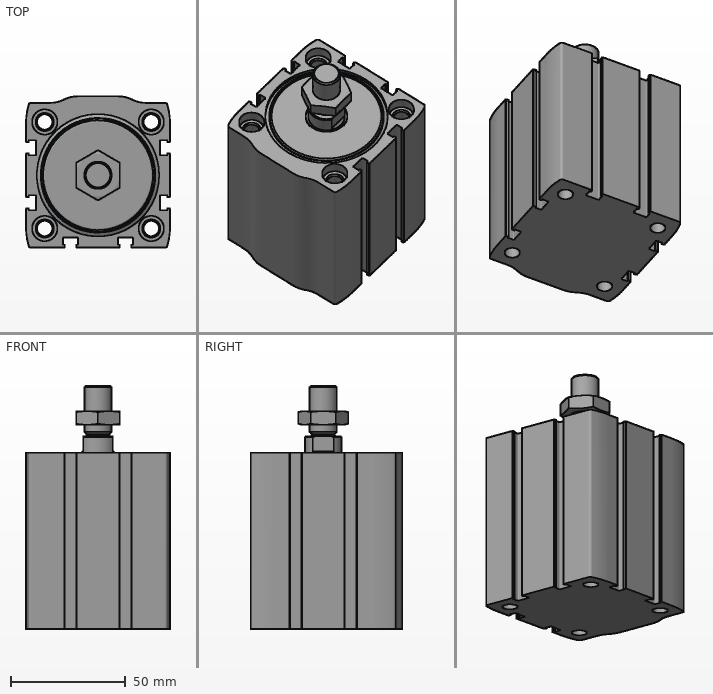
import cadquery as cq
import math

TOTAL_HEIGHT = 106.0
HOUSING_WIDTH = 63.0
HOUSING_LENGTH = 66.0
HOUSING_HEIGHT = 77.0
HALF_WIDTH = HOUSING_WIDTH / 2
HALF_DEPTH = 31.6

BULGE_START_Y = 22.0
CORNER_INSET = 1.5
CORNER_RADIUS = 1.3
CREST_Y = HOUSING_LENGTH - HALF_DEPTH
CREST_HALF_WIDTH = 8.9
HUMP_HALF_WIDTH = 20.8

SLOT_OFFSET = 12.0
SLOT_MOUTH = 5.0
SLOT_WIDTH = 6.5
SLOT_DEPTH = 4.5
SLOT_LIP = 1.4
SLOT_RADIUS = 0.3

MOUNT_OFFSET = 23.2
MOUNT_DIAMETER = 6.7
MOUNT_BEVEL_DIAMETER = 8.0
COUNTERBORE_DIAMETER = 11.0
COUNTERBORE_DEPTH = 5.1

GROOVE_DIAMETER = 53.3
GROOVE_DEPTH = 1.5
COLLAR_DIAMETER = 50.0
COLLAR_DROP = 0.5
COVER_BEVEL_DIAMETER = 49.3
COVER_BEVEL_DROP = 0.7
COVER_EASE_DIAMETER = 47.8
COVER_EASE_DROP = 0.2
COVER_FACE_DIAMETER = 46.3

ROD_DIAMETER = 16.0
ROD_SEAT_DEPTH = 10.6
ROD_TOP = 84.0
ROD_BEVEL = 0.4
ROD_RECESS_DIAMETER = 18.1
ROD_RECESS_DEPTH = 0.8
ROD_RECESS_INNER_DEPTH = 0.2
FLATS_WIDTH = 13.0
FLATS_CLEARANCE = 0.6
FLATS_BOTTOM = HOUSING_HEIGHT + FLATS_CLEARANCE
NECK_DIAMETER = 9.8
NECK_FOOT_DIAMETER = 11.0
THREAD_DIAMETER = 12.0
THREAD_BOTTOM = 86.0
THREAD_TIP_DIAMETER = 10.6

NUT_WIDTH = 19.0
NUT_BOTTOM = 89.0
NUT_HEIGHT = 5.9
NUT_FACE_DIAMETER = 18.7
NUT_BEVEL_ANGLE = 15.0


def revolved(points):
    """Solid of revolution about Z from (radius, height) points."""
    return cq.Workplane("XZ").polyline(points).close().revolve(360, (0, 0, 0), (0, 1, 0))


def barrel():
    """Extruded housing with curved side ends, rounded corners and a hump on the +Y side."""
    corner_x = HALF_WIDTH - CORNER_INSET
    side_run = HALF_DEPTH - BULGE_START_Y
    side_radius = (side_run**2 + CORNER_INSET**2) / (2 * CORNER_INSET)
    hump_run = HUMP_HALF_WIDTH - CREST_HALF_WIDTH
    hump_rise = CREST_Y - HALF_DEPTH
    hump_radius = (hump_run**2 + hump_rise**2) / (4 * hump_rise)
    hump_mid_x = (CREST_HALF_WIDTH + HUMP_HALF_WIDTH) / 2
    hump_mid_y = (CREST_Y + HALF_DEPTH) / 2
    outline = (
        cq.Workplane("XY")
        .moveTo(-corner_x, -HALF_DEPTH)
        .lineTo(corner_x, -HALF_DEPTH)
        .radiusArc((HALF_WIDTH, -BULGE_START_Y), -side_radius)
        .lineTo(HALF_WIDTH, BULGE_START_Y)
        .radiusArc((corner_x, HALF_DEPTH), -side_radius)
        .lineTo(HUMP_HALF_WIDTH, HALF_DEPTH)
        .radiusArc((hump_mid_x, hump_mid_y), hump_radius)
        .radiusArc((CREST_HALF_WIDTH, CREST_Y), -hump_radius)
        .lineTo(-CREST_HALF_WIDTH, CREST_Y)
        .radiusArc((-hump_mid_x, hump_mid_y), -hump_radius)
        .radiusArc((-HUMP_HALF_WIDTH, HALF_DEPTH), hump_radius)
        .lineTo(-corner_x, HALF_DEPTH)
        .radiusArc((-HALF_WIDTH, BULGE_START_Y), -side_radius)
        .lineTo(-HALF_WIDTH, -BULGE_START_Y)
        .radiusArc((-corner_x, -HALF_DEPTH), -side_radius)
        .close()
    )
    body = outline.extrude(HOUSING_HEIGHT)
    for x in (-corner_x, corner_x):
        for y in (-HALF_DEPTH, HALF_DEPTH):
            corner_edge = cq.selectors.NearestToPointSelector((x, y, HOUSING_HEIGHT / 2))
            body = body.edges("|Z").edges(corner_edge).fillet(CORNER_RADIUS)
    return body


def slot_cutter(wall_distance):
    """T-slot along Z, centred on X = 0, opening through a wall at -Y that far from the axis."""
    chamber = (
        cq.Workplane("XY")
        .rect(SLOT_WIDTH, SLOT_DEPTH - SLOT_LIP)
        .extrude(HOUSING_HEIGHT)
        .edges("|Z and >Y")
        .fillet(SLOT_RADIUS)
        .translate((0, -wall_distance + (SLOT_DEPTH + SLOT_LIP) / 2, 0))
    )
    half_mouth = SLOT_MOUTH / 2
    rounded_half_mouth = half_mouth + SLOT_RADIUS
    mouth = (
        cq.Workplane("XY")
        .moveTo(-rounded_half_mouth, -wall_distance)
        .radiusArc((-half_mouth, -wall_distance + SLOT_RADIUS), SLOT_RADIUS)
        .lineTo(-half_mouth, -wall_distance + SLOT_LIP)
        .lineTo(half_mouth, -wall_distance + SLOT_LIP)
        .lineTo(half_mouth, -wall_distance + SLOT_RADIUS)
        .radiusArc((rounded_half_mouth, -wall_distance), SLOT_RADIUS)
        .close()
        .extrude(HOUSING_HEIGHT)
    )
    return chamber.union(mouth)


def mount_hole_cutter():
    """Counterbored through hole with a bevel where it meets the counterbore floor."""
    floor = HOUSING_HEIGHT - COUNTERBORE_DEPTH
    hole_radius = MOUNT_DIAMETER / 2
    bevel_radius = MOUNT_BEVEL_DIAMETER / 2
    counterbore_radius = COUNTERBORE_DIAMETER / 2
    return revolved([
        (0, 0),
        (hole_radius, 0),
        (hole_radius, floor - (bevel_radius - hole_radius)),
        (bevel_radius, floor),
        (counterbore_radius, floor),
        (counterbore_radius, HOUSING_HEIGHT),
        (0, HOUSING_HEIGHT),
    ])


def cover_groove_cutter():
    """Ring of space above the cover's stepped rim and the groove floor that slopes away from it."""
    groove_radius = GROOVE_DIAMETER / 2
    collar_radius = COLLAR_DIAMETER / 2
    return revolved([
        (COVER_FACE_DIAMETER / 2, HOUSING_HEIGHT),
        (COVER_EASE_DIAMETER / 2, HOUSING_HEIGHT - COVER_EASE_DROP),
        (COVER_BEVEL_DIAMETER / 2, HOUSING_HEIGHT - COVER_BEVEL_DROP),
        (collar_radius, HOUSING_HEIGHT - COVER_BEVEL_DROP),
        (collar_radius, HOUSING_HEIGHT - COLLAR_DROP),
        (groove_radius, HOUSING_HEIGHT - GROOVE_DEPTH),
        (groove_radius, HOUSING_HEIGHT),
    ])


def rod_bore_cutter():
    """Blind rod seat and the ring recess around the rod, whose floor rises towards the rod."""
    rod_radius = ROD_DIAMETER / 2
    recess_radius = ROD_RECESS_DIAMETER / 2
    return revolved([
        (0, HOUSING_HEIGHT - ROD_SEAT_DEPTH),
        (rod_radius, HOUSING_HEIGHT - ROD_SEAT_DEPTH),
        (rod_radius, HOUSING_HEIGHT - ROD_RECESS_INNER_DEPTH),
        (recess_radius, HOUSING_HEIGHT - ROD_RECESS_DEPTH),
        (recess_radius, HOUSING_HEIGHT),
        (0, HOUSING_HEIGHT),
    ])


def make_housing():
    body = barrel()
    for turn, wall_distance in ((-90, HALF_WIDTH), (0, HALF_DEPTH), (90, HALF_WIDTH)):
        for offset in (-SLOT_OFFSET, SLOT_OFFSET):
            slot = slot_cutter(wall_distance).translate((offset, 0, 0))
            body = body.cut(slot.rotate((0, 0, 0), (0, 0, 1), turn))
    for x in (-MOUNT_OFFSET, MOUNT_OFFSET):
        for y in (-MOUNT_OFFSET, MOUNT_OFFSET):
            body = body.cut(mount_hole_cutter().translate((x, y, 0)))
    return body.cut(cover_groove_cutter()).cut(rod_bore_cutter())


def wrench_flat_cutter():
    """Removes the +X side of the rod beyond its flat, with a 45 degree run-out at the foot."""
    flat_x = FLATS_WIDTH / 2
    reach = ROD_DIAMETER
    return (
        cq.Workplane("XZ")
        .polyline([
            (flat_x, ROD_TOP),
            (flat_x, FLATS_BOTTOM),
            (flat_x + reach, FLATS_BOTTOM - reach),
            (flat_x + reach, ROD_TOP),
        ])
        .close()
        .extrude(ROD_DIAMETER / 2, both=True)
    )


def make_rod():
    """Rod with a necked, bevelled thread end and two wrench flats facing X."""
    rod_radius = ROD_DIAMETER / 2
    neck_radius = NECK_DIAMETER / 2
    foot_radius = NECK_FOOT_DIAMETER / 2
    thread_radius = THREAD_DIAMETER / 2
    tip_radius = THREAD_TIP_DIAMETER / 2
    rod_foot = HOUSING_HEIGHT - ROD_SEAT_DEPTH
    body = revolved([
        (0, rod_foot),
        (rod_radius, rod_foot),
        (rod_radius, ROD_TOP - ROD_BEVEL),
        (rod_radius - ROD_BEVEL, ROD_TOP),
        (foot_radius, ROD_TOP),
        (neck_radius, ROD_TOP + foot_radius - neck_radius),
        (neck_radius, THREAD_BOTTOM - (thread_radius - neck_radius)),
        (thread_radius, THREAD_BOTTOM),
        (thread_radius, TOTAL_HEIGHT - (thread_radius - tip_radius)),
        (tip_radius, TOTAL_HEIGHT),
        (0, TOTAL_HEIGHT),
    ])
    for turn in (0, 180):
        body = body.cut(wrench_flat_cutter().rotate((0, 0, 0), (0, 0, 1), turn))
    return body


def make_nut():
    """Hexagon nut with two flats facing X and both faces bevelled to a circle."""
    corner_radius = NUT_WIDTH / 2 / math.cos(math.pi / 6)
    face_radius = NUT_FACE_DIAMETER / 2
    bevel_height = (corner_radius - face_radius) * math.tan(math.radians(NUT_BEVEL_ANGLE))
    nut_top = NUT_BOTTOM + NUT_HEIGHT
    hexagon = (
        cq.Workplane("XY")
        .workplane(offset=NUT_BOTTOM)
        .polygon(6, 2 * corner_radius)
        .extrude(NUT_HEIGHT)
        .rotate((0, 0, 0), (0, 0, 1), 30)
    )
    bevelled_blank = revolved([
        (0, NUT_BOTTOM),
        (face_radius, NUT_BOTTOM),
        (corner_radius, NUT_BOTTOM + bevel_height),
        (corner_radius, nut_top - bevel_height),
        (face_radius, nut_top),
        (0, nut_top),
    ])
    bore = cq.Workplane("XY").circle(THREAD_DIAMETER / 2).extrude(TOTAL_HEIGHT)
    return hexagon.intersect(bevelled_blank).cut(bore)


housing = make_housing()
rod = make_rod()
nut = make_nut()

result = cq.Compound.makeCompound([housing.val(), rod.val(), nut.val()])